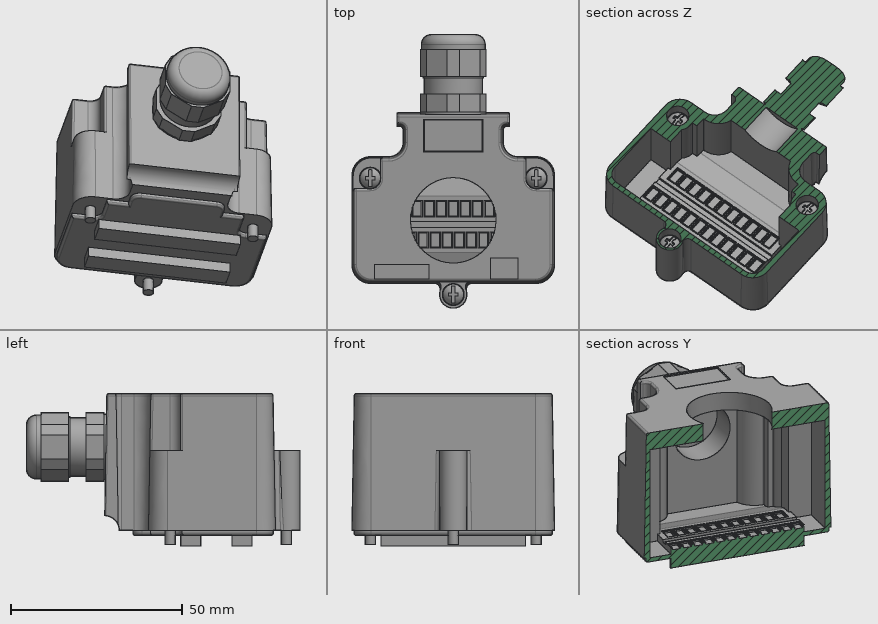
import cadquery as cq
import math

overlap = 0.8
edge_reach = 0.8

shell_height = 39.95
draft_angle = 1.0
overall_width = 59.2
half_width = overall_width / 2
front_y = -18.45
shoulder_y = 18.6
corner_radius = 5.6
neck_half_width = 14.6
neck_blend_radius = 4.15
flange_half_width = 16.45
flange_front_y = 27.4
flange_back_y = 31.5
flange_blend_radius = 0.95
flange_notch_radius = 4.3
outer_edge_radius = 0.6
flange_edge_radius = 0.4

ear_screw_x = 24.2
ear_screw_y = 12.3
boss_y = -21.65
boss_radius = 4.0
boss_web_half_width = 3.9
boss_blend_radius = 1.4
seat_z = 23.4
pocket_inner_x = 21.25
pocket_front_y = 9.3
pocket_corner_radius = 3.0

head_radius = 3.0
hole_radius = 3.2
head_seat_z = 14.4
dome_height = 1.6
slot_width = 0.95
slot_depth = 0.95
short_slot_length = 2.9
pin_radius = 1.5
pin_end_z = -4.15

lid_thickness = 5.6
wall = 2.0
cavity_back_y = 20.8
cavity_blend_radius = 6.6
cavity_blend_x = 17.3
back_rib_x = 17.65
back_rib_front_y = 13.0
side_rib_x = 20.3
side_rib_front_y = 4.0

window_radius = 12.5
recess_depth = 0.2
back_label_wall_slope = 45
front_label_wall_slope = 0
back_label = (-8.6, 20.0, 8.6, 29.5)
left_label = (-23.0, -17.2, -7.0, -12.95)
right_label = (10.95, -17.2, 18.9, -11.0)

plate_thickness = 1.4
plate_edge_radius = 0.6
plate_inset = 0.6
plate_back_y = 23.2
plate_neck_half_width = 14.0
plate_neck_radius = 2.7
plate_ear_x = 20.4
plate_ear_y = 8.8
plate_ear_radius = 2.4
rail_width = 5.9
rail_bottom_z = -4.55
rail_spacing = 14.95

block_y = -1.2
block_half_length = 21.1
block_top_z = 2.15
block_top_width = 16.45
block_bottom_width = 31.95
block_groove_width = 1.8
block_groove_depth = 0.8
terminal_pitch = 3.5
terminal_row_spacing = 9.1
back_row_count = 11
front_row_count = 12
terminal_width = 3.0
terminal_length = 4.8
terminal_depth = 0.8
terminal_rim = 0.3
terminal_rim_depth = 0.3

gland_z = 24.4
gland_tip_y = 54.25
dome_start_y = 49.9
nut_front_y = 41.95
neck_end_y = 41.55
body_hex_back_y = 36.9
body_hex_front_y = 31.65
gland_dome_radius = 9.35
gland_dome_fillet = 2.95
nut_flats = 19.2
nut_corner_flats = 20.05
nut_step_radius = 8.9
gland_neck_radius = 8.55
washer_radius = 9.6
gland_bore_radius = 8.9


def box(x0, y0, z0, x1, y1, z1):
    """Box between two opposite corners."""
    return cq.Workplane("XY").box(x1 - x0, y1 - y0, z1 - z0, centered=False).translate((x0, y0, z0))


def cylinder(x, y, radius, z0, z1):
    """Upright cylinder."""
    return cq.Workplane("XY", origin=(x, y, z0)).circle(radius).extrude(z1 - z0)


def both_sides(solid):
    """A solid joined with its mirror image in X."""
    return solid.union(solid.mirror("YZ"))


def rounded_block(x0, y0, z0, x1, y1, z1, radius):
    """Box whose upright edge at (x0, y0) is rounded."""
    return box(x0, y0, z0, x1, y1, z1).edges("|Z and <X and <Y").fillet(radius)


def shell_blank():
    """Drafted body with its corners, neck and flange, before any cut or edge rounding."""
    diag = math.sqrt(0.5)
    corner_x = half_width - corner_radius
    front_corner_y = front_y + corner_radius
    back_corner_y = shoulder_y - corner_radius
    neck_x = neck_half_width + neck_blend_radius
    neck_y = shoulder_y + neck_blend_radius
    lip_x = neck_half_width + flange_blend_radius
    lip_y = flange_front_y - flange_blend_radius
    half = (
        cq.Workplane("XY")
        .moveTo(0, front_y)
        .lineTo(corner_x, front_y)
        .threePointArc((corner_x + diag * corner_radius, front_corner_y - diag * corner_radius),
                       (half_width, front_corner_y))
        .lineTo(half_width, back_corner_y)
        .threePointArc((corner_x + diag * corner_radius, back_corner_y + diag * corner_radius),
                       (corner_x, shoulder_y))
        .lineTo(neck_x, shoulder_y)
        .threePointArc((neck_x - diag * neck_blend_radius, neck_y - diag * neck_blend_radius),
                       (neck_half_width, neck_y))
        .lineTo(neck_half_width, lip_y)
        .threePointArc((lip_x - diag * flange_blend_radius, lip_y + diag * flange_blend_radius),
                       (lip_x, flange_front_y))
        .lineTo(half_width, flange_front_y)
        .lineTo(half_width, flange_back_y)
        .lineTo(0, flange_back_y)
    )
    blank = half.mirrorY().extrude(shell_height, taper=draft_angle)
    flange_end = box(flange_half_width, flange_front_y - overlap, 0,
                     half_width + overlap, flange_back_y + overlap, shell_height)
    return blank.cut(both_sides(flange_end))


def edges_near(x, y, z):
    """Selects the edges whose middle lies close to a point or to its mirror image in X."""
    def around(centre_x):
        low = (centre_x - edge_reach, y - edge_reach, z - edge_reach)
        high = (centre_x + edge_reach, y + edge_reach, z + edge_reach)
        return cq.selectors.BoxSelector(low, high)
    return around(x) + around(-x)


def screw_boss():
    """Front boss with the drafted web that ties it to the shell."""
    boss = cylinder(0, boss_y, boss_radius, 0, seat_z)
    web = (
        cq.Workplane("XY", origin=(0, front_y, 0))
        .rect(2 * boss_web_half_width, 2 * (front_y - boss_y))
        .extrude(seat_z, taper=draft_angle)
    )
    return boss.union(web)


def shell():
    """Solid outer shape of the housing, with rounded edges and the front boss."""
    flange_notch = (
        cq.Workplane("YZ", origin=(-half_width, flange_back_y, 0))
        .circle(flange_notch_radius)
        .extrude(2 * half_width)
    )
    ear_pocket = rounded_block(pocket_inner_x, pocket_front_y, seat_z,
                               half_width + overlap, shoulder_y + overlap, shell_height,
                               pocket_corner_radius)
    body = shell_blank().cut(flange_notch).cut(both_sides(ear_pocket))

    def inset(z):
        """Distance the drafted walls have moved in at height z."""
        return z * math.tan(math.radians(draft_angle))

    pocket_z = (seat_z + shell_height) / 2
    flange_z = (flange_notch_radius + shell_height) / 2
    boss_z = seat_z / 2
    pocket_side_edges = edges_near(half_width - inset(pocket_z), pocket_front_y, pocket_z)
    pocket_back_edges = edges_near(pocket_inner_x, shoulder_y - inset(pocket_z), pocket_z)
    flange_edges = edges_near(flange_half_width, flange_back_y - inset(flange_z), flange_z)
    boss_edges = edges_near(boss_web_half_width - inset(boss_z), front_y + inset(boss_z), boss_z)

    body = body.edges(pocket_side_edges + pocket_back_edges).fillet(outer_edge_radius)
    body = body.edges(flange_edges).fillet(flange_edge_radius)
    body = body.faces(">Z").edges().fillet(outer_edge_radius)
    return body.union(screw_boss()).edges(boss_edges).fillet(boss_blend_radius)


def cavity():
    """Inside of the housing, leaving columns below the two back screw pockets."""
    ceiling = shell_height - lid_thickness
    inner_x = half_width - wall
    blend_y = shoulder_y + neck_blend_radius
    inner_shoulder_y = blend_y - cavity_blend_radius
    main = (
        box(-inner_x, front_y + wall, 0, inner_x, inner_shoulder_y, ceiling)
        .edges("|Z").fillet(corner_radius - wall)
    )
    neck = box(-cavity_blend_x, 0, 0, cavity_blend_x, cavity_back_y, ceiling)
    corner = cylinder(cavity_blend_x, blend_y, cavity_blend_radius, 0, ceiling)
    ear = rounded_block(pocket_inner_x - wall, pocket_front_y - wall, 0, half_width, shoulder_y, ceiling,
                        pocket_corner_radius + wall)
    back_rib = box(back_rib_x, back_rib_front_y, 0, half_width, shoulder_y, ceiling)
    side_rib = box(side_rib_x, side_rib_front_y, 0, half_width, ear_screw_y, ceiling)
    columns = ear.union(back_rib).union(side_rib)
    return main.union(neck).cut(both_sides(corner)).cut(both_sides(columns))


def label_recess(area, wall_slope):
    """Shallow rectangular recess in the top face."""
    x0, y0, x1, y1 = area
    return (
        cq.Workplane("XY", origin=((x0 + x1) / 2, (y0 + y1) / 2, shell_height))
        .rect(x1 - x0, y1 - y0)
        .extrude(-recess_depth, taper=wall_slope)
    )


def screw_hole(x, y):
    """Counterbore that sinks a screw head."""
    return cylinder(x, y, hole_radius, head_seat_z, seat_z)


def screw(x, y):
    """Domed cross-slot head on a shank whose end stands out below."""
    sphere_radius = (head_radius**2 + dome_height**2) / (2 * dome_height)
    top_z = head_seat_z + dome_height
    ball = cq.Workplane("XY").sphere(sphere_radius).translate((x, y, top_z - sphere_radius))
    head = cylinder(x, y, head_radius, head_seat_z, top_z).intersect(ball)
    for length_x, length_y in ((slot_width, 2 * head_radius), (short_slot_length, slot_width)):
        head = head.cut(box(x - length_x / 2, y - length_y / 2, top_z - slot_depth,
                            x + length_x / 2, y + length_y / 2, top_z))
    shank = cylinder(x, y, pin_radius, pin_end_z, head_seat_z)
    return head.union(shank)


def base_plate():
    """Plate closing the housing from below, with two mounting rails along X."""
    side_x = half_width - plate_inset
    shoulder = shoulder_y - plate_inset
    plate = box(-side_x, front_y + plate_inset, -plate_thickness, side_x, shoulder, 0)
    plate = plate.edges("|Z and <Y").fillet(corner_radius - plate_inset)
    neck = (
        box(-plate_neck_half_width, 0, -plate_thickness, plate_neck_half_width, plate_back_y, 0)
        .edges("|Z and >Y").fillet(plate_neck_radius)
    )
    ear = rounded_block(plate_ear_x, plate_ear_y, -plate_thickness, half_width, shoulder_y, 0,
                        plate_ear_radius)
    plate = plate.union(neck).cut(both_sides(ear))
    plate = plate.faces("<Z").edges().fillet(plate_edge_radius)
    for y in (block_y - rail_spacing / 2, block_y + rail_spacing / 2):
        rail = box(-block_half_length, y - rail_width / 2, rail_bottom_z,
                   block_half_length, y + rail_width / 2, 0)
        plate = plate.union(rail)
    return plate


def terminal_block():
    """Low block with sloping sides, a middle groove and two staggered rows of stepped sockets."""
    block = (
        cq.Workplane("YZ", origin=(-block_half_length, block_y, 0))
        .moveTo(-block_bottom_width / 2, 0)
        .lineTo(block_bottom_width / 2, 0)
        .lineTo(block_top_width / 2, block_top_z)
        .lineTo(-block_top_width / 2, block_top_z)
        .close()
        .extrude(2 * block_half_length)
    )
    groove_y = block_groove_width / 2
    block = block.cut(box(-block_half_length, block_y - groove_y, block_top_z - block_groove_depth,
                          block_half_length, block_y + groove_y, block_top_z))
    back_row_y = block_y + terminal_row_spacing / 2
    front_row_y = block_y - terminal_row_spacing / 2
    for count, row_y in ((back_row_count, back_row_y), (front_row_count, front_row_y)):
        row = cq.Workplane("XY", origin=(0, row_y, block_top_z)).rarray(terminal_pitch, 0.8, count, 1)
        block = block.cut(row.rect(terminal_width, terminal_length).extrude(-terminal_rim_depth))
        inner = row.rect(terminal_width - 2 * terminal_rim, terminal_length - 2 * terminal_rim)
        block = block.cut(inner.extrude(-terminal_depth))
    return block


def gland():
    """Domed nut, plain neck, fixed hexagon and washer, stacked along Y."""
    def along_y(y0):
        return cq.Workplane("XZ", origin=(0, y0, gland_z))

    def disc(radius, y0, y1):
        return along_y(y0).circle(radius).extrude(y0 - y1)

    def nut(y0, y1):
        """Hexagonal prism with its six corners cut flat."""
        def hexagon(flats, angle):
            across_corners = flats / math.cos(math.pi / 6)
            prism = along_y(y0).polygon(6, across_corners).extrude(y0 - y1)
            return prism.rotate((0, y0, gland_z), (0, y1, gland_z), angle)
        return hexagon(nut_flats, 30).intersect(hexagon(nut_corner_flats, 0))

    dome = disc(gland_dome_radius, dome_start_y, gland_tip_y).faces(">Y").edges().fillet(gland_dome_fillet)
    return (
        dome.union(nut(nut_front_y, dome_start_y))
        .union(disc(nut_step_radius, neck_end_y, nut_front_y))
        .union(disc(gland_neck_radius, body_hex_back_y, neck_end_y))
        .union(nut(body_hex_front_y, body_hex_back_y))
        .union(disc(washer_radius, flange_back_y - overlap, body_hex_front_y))
    )


def gland_bore():
    """Round opening from the cavity towards the gland, closed by the washer."""
    return (
        cq.Workplane("XZ", origin=(0, cavity_back_y - overlap, gland_z))
        .circle(gland_bore_radius)
        .extrude(cavity_back_y - flange_back_y)
    )


result = shell().cut(cavity()).cut(cylinder(0, 0, window_radius, 0, shell_height)).cut(gland_bore())
result = result.cut(label_recess(back_label, back_label_wall_slope))
for front_label in (left_label, right_label):
    result = result.cut(label_recess(front_label, front_label_wall_slope))
result = result.union(gland()).union(base_plate()).union(terminal_block())
for x, y in ((-ear_screw_x, ear_screw_y), (ear_screw_x, ear_screw_y), (0, boss_y)):
    result = result.cut(screw_hole(x, y)).union(screw(x, y))